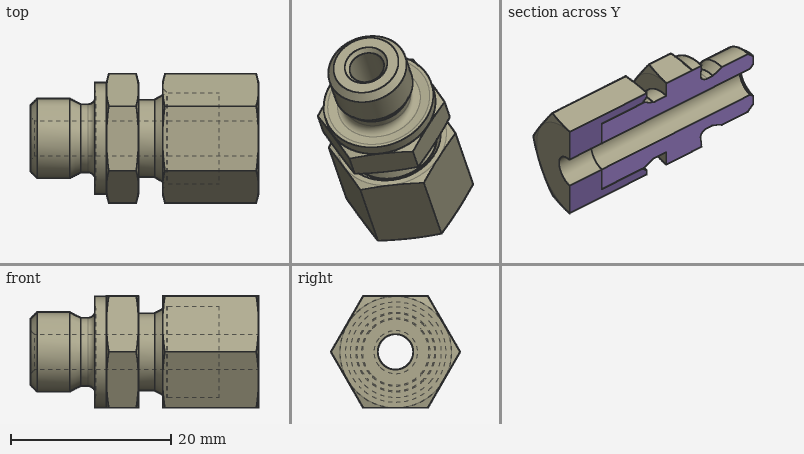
import cadquery as cq
import math

total_length = 28.5
stud_cone_start = 4.9
neck_start = 6.3
fillet_start = 7.15
flange_start = 8.0
flange_end = 9.5
hex_end = 13.5
thread_cone_start = 15.5
nut_start = 16.5
shank_end = 23.5

across_flats = 14.0
stud_radius = 5.0
stud_chamfer = 0.85
neck_radius = 4.28
neck_fillet = 1.0
sealing_edge_radius = 6.5
flange_radius = 6.98
relief_radius = 4.85
thread_radius = 5.67
bore_radius = 2.2
bore_chamfer = 0.5
nut_countersink = 0.6

thread_cone_slope = math.tan(math.radians(30))
corner_slope = math.tan(math.radians(15))
corner_start_radius = 6.95
thread_start = thread_cone_start + (thread_radius - relief_radius) / thread_cone_slope

across_corners = across_flats / math.cos(math.pi / 6)
envelope_clearance = 0.28


def revolve_profile(profile):
    """Turn a closed (axial, radial) profile about the X axis."""
    return profile.close().revolve(360, (0, 0, 0), (1, 0, 0))


def hexagon(start, end):
    """Hexagon along X with flats facing up and down and both ends turned conical."""
    prism = cq.Workplane("YZ").workplane(offset=start).polygon(6, across_corners).extrude(end - start)
    outer_radius = across_corners / 2 + envelope_clearance
    setback = (outer_radius - corner_start_radius) * corner_slope
    envelope = revolve_profile(
        cq.Workplane("XY")
        .moveTo(start, 0)
        .lineTo(start, corner_start_radius)
        .lineTo(start + setback, outer_radius)
        .lineTo(end - setback, outer_radius)
        .lineTo(end, corner_start_radius)
        .lineTo(end, 0)
    )
    return prism.intersect(envelope)


def stud_and_flange():
    """Stud end, filleted neck and flange whose face is dished to a sealing edge."""
    diagonal = neck_fillet * math.sqrt(0.5)
    fillet_center_radius = neck_radius + neck_fillet
    return revolve_profile(
        cq.Workplane("XY")
        .moveTo(0, 0)
        .lineTo(0, stud_radius - stud_chamfer)
        .lineTo(stud_chamfer, stud_radius)
        .lineTo(stud_cone_start, stud_radius)
        .lineTo(neck_start, neck_radius)
        .lineTo(fillet_start, neck_radius)
        .threePointArc(
            (fillet_start + diagonal, fillet_center_radius - diagonal),
            (fillet_start + neck_fillet, fillet_center_radius),
        )
        .lineTo(flange_start, sealing_edge_radius)
        .lineTo(flange_start, flange_radius)
        .lineTo(flange_end, flange_radius)
        .lineTo(flange_end, 0)
    )


def threaded_shank():
    """Shank with a relief behind the hexagon and a conical start to its thread."""
    return revolve_profile(
        cq.Workplane("XY")
        .moveTo(hex_end, 0)
        .lineTo(hex_end, relief_radius)
        .lineTo(thread_cone_start, relief_radius)
        .lineTo(thread_start, thread_radius)
        .lineTo(shank_end, thread_radius)
        .lineTo(shank_end, 0)
    )


def through_bore():
    """Bore along the whole fitting, chamfered at the stud end."""
    return revolve_profile(
        cq.Workplane("XY")
        .moveTo(0, 0)
        .lineTo(0, bore_radius + bore_chamfer)
        .lineTo(bore_chamfer, bore_radius)
        .lineTo(total_length, bore_radius)
        .lineTo(total_length, 0)
    )


def nut_socket():
    """Blind threaded socket of the nut, countersunk at its mouth."""
    return revolve_profile(
        cq.Workplane("XY")
        .moveTo(nut_start, 0)
        .lineTo(nut_start, thread_radius + nut_countersink)
        .lineTo(nut_start + nut_countersink, thread_radius)
        .lineTo(shank_end, thread_radius)
        .lineTo(shank_end, 0)
    )


def make_fitting_body():
    solid = stud_and_flange().union(hexagon(flange_end, hex_end)).union(threaded_shank())
    return solid.cut(through_bore())


def make_union_nut():
    return hexagon(nut_start, total_length).cut(nut_socket()).cut(through_bore())


fitting_body = make_fitting_body()
union_nut = make_union_nut()

result = cq.Compound.makeCompound([fitting_body.val(), union_nut.val()])